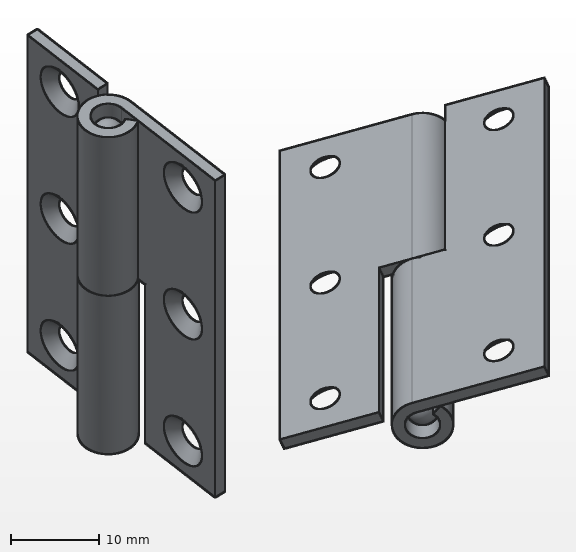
import cadquery as cq
import math

height = 50.0
width = 32.0
thickness = 1.5

knuckle_radius = 3.5
bore_radius = knuckle_radius - thickness
curl_end_angle = math.radians(34.5)
knuckle_clearance = 0.5

screw_hole_radius = 1.75
countersink_radius = screw_hole_radius + thickness
screw_offset = 10.5
screw_pitch = 20.0

pin_radius = bore_radius
pin_recess = 1.0

leaf_edge = width / 2
knuckle_height = height / 2
notch_edge = knuckle_radius + knuckle_clearance


def on_circle(radius, angle):
    return (radius * math.cos(angle), radius * math.sin(angle))


def rolled_sheet():
    """Upper half of the right leaf: flat sheet running into its rolled knuckle."""
    return (
        cq.Workplane("XY")
        .moveTo(leaf_edge, knuckle_radius)
        .lineTo(0, knuckle_radius)
        .threePointArc((-knuckle_radius, 0), (0, -knuckle_radius))
        .threePointArc(on_circle(knuckle_radius, 0), on_circle(knuckle_radius, curl_end_angle))
        .lineTo(*on_circle(bore_radius, curl_end_angle))
        .threePointArc(on_circle(bore_radius, 0), (0, -bore_radius))
        .threePointArc((-bore_radius, 0), (0, bore_radius))
        .lineTo(leaf_edge, bore_radius)
        .close()
        .extrude(knuckle_height)
    )


def lower_sheet():
    """Lower half of the right leaf, cut back to clear the other knuckle."""
    return cq.Workplane("XY").box(
        leaf_edge - notch_edge, thickness, height - knuckle_height, centered=False
    ).translate((notch_edge, bore_radius, -height / 2))


def screw_hole(z):
    """Cone that narrows from the knuckle side of the sheet to its back."""
    cone = cq.Solid.makeCone(
        countersink_radius,
        screw_hole_radius,
        thickness,
        pnt=cq.Vector(screw_offset, bore_radius, z),
        dir=cq.Vector(0, 1, 0),
    )
    return cq.Workplane(cone)


def make_leaf():
    leaf = rolled_sheet().union(lower_sheet())
    for z in (-screw_pitch, 0, screw_pitch):
        leaf = leaf.cut(screw_hole(z))
    return leaf


def make_pin():
    """Pin with a hemisphere at each end, set back from the knuckle ends."""
    tip = height / 2 - pin_recess
    dome_start = tip - pin_radius
    dome_side = pin_radius / math.sqrt(2)
    return (
        cq.Workplane("XZ")
        .moveTo(0, -tip)
        .threePointArc((dome_side, -dome_start - dome_side), (pin_radius, -dome_start))
        .lineTo(pin_radius, dome_start)
        .threePointArc((dome_side, dome_start + dome_side), (0, tip))
        .close()
        .revolve(360, (0, 0), (0, 1))
    )


leaves = []
for turn in (0, 180):
    leaves.append(make_leaf().rotate((0, 0, 0), (0, 1, 0), turn).solids().val())

pin = make_pin()

result = cq.Compound.makeCompound([*leaves, pin.val()])